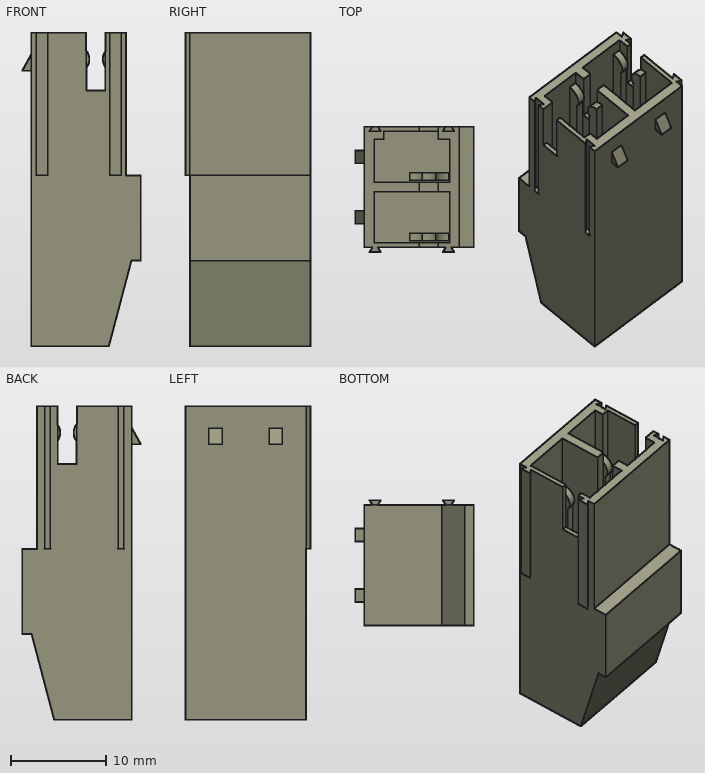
import cadquery as cq
import math

HEIGHT = 33.0
DEPTH = 12.7
UPPER_WIDTH = 10.0
LOWER_WIDTH = 11.55
FOOT_WIDTH = 8.2
SHOULDER_Z = 18.0
STEP_Z = 9.0
STEP_DEPTH = 1.0

CAVITY_COUNT = 2
LATCH_SIDE_WALL = 1.05
SHOULDER_SIDE_WALL = 1.0
END_WALL = 0.5
DIVIDER = 1.0
CAVITY_LEFT_X = LATCH_SIDE_WALL
CAVITY_RIGHT_X = UPPER_WIDTH - SHOULDER_SIDE_WALL
CAVITY_DEPTH = (DEPTH - 2 * END_WALL - DIVIDER) / CAVITY_COUNT
CAVITY_PITCH = CAVITY_DEPTH + DIVIDER
CAVITY_FLOOR_Z = SHOULDER_Z
CAVITY_HEIGHT = HEIGHT - CAVITY_FLOOR_Z

SLOT_LEFT_X = 5.78
SLOT_WIDTH = 2.05
SLOT_BOTTOM_Z = 26.93
SLOT_RIGHT_X = SLOT_LEFT_X + SLOT_WIDTH

POST_DEPTH = 0.82
LEFT_POST_WIDTH = 1.02
RIGHT_POST_WIDTH = CAVITY_RIGHT_X - SLOT_RIGHT_X

RAIL_CENTERS_X = (1.15, 8.88)
RAIL_TIP_WIDTH = 1.22
RAIL_ROOT_WIDTH = 0.6
RAIL_DEPTH = 0.5

LATCH_REACH = 0.95
LATCH_WIDTH = 1.4
LATCH_BOTTOM_Z = 28.97
LATCH_TOP_Z = 30.7

CONTACT_CENTER_X = 6.83
CONTACT_WIDTH = 4.1
CONTACT_THICKNESS = 0.82
CONTACT_CLEARANCE = 0.2
TIP_GAP = 1.4
TIP_RADIUS = (CONTACT_WIDTH - TIP_GAP) / 2
TIP_CENTER_Z = 30.2
FORK_GAP = 1.9
FORK_RADIUS = FORK_GAP / 2
FORK_BOTTOM_Z = 19.8


def box(x, y, z, size_x, size_y, size_z):
    """Box placed by its lowest corner."""
    return cq.Workplane("XY").box(size_x, size_y, size_z, centered=False).translate((x, y, z))


def housing_block():
    outline = [
        (0, 0),
        (FOOT_WIDTH, 0),
        (LOWER_WIDTH - STEP_DEPTH, STEP_Z),
        (LOWER_WIDTH, STEP_Z),
        (LOWER_WIDTH, SHOULDER_Z),
        (UPPER_WIDTH, SHOULDER_Z),
        (UPPER_WIDTH, HEIGHT),
        (0, HEIGHT),
    ]
    return cq.Workplane("XZ").polyline(outline).close().extrude(-DEPTH)


def cavity(index):
    return box(
        CAVITY_LEFT_X, END_WALL + index * CAVITY_PITCH, CAVITY_FLOOR_Z,
        CAVITY_RIGHT_X - CAVITY_LEFT_X, CAVITY_DEPTH, CAVITY_HEIGHT,
    )


def corner_post(left_x, width):
    front_y = DEPTH - END_WALL - POST_DEPTH
    return box(left_x, front_y, CAVITY_FLOOR_Z, width, POST_DEPTH, CAVITY_HEIGHT)


def cross_slot():
    return box(SLOT_LEFT_X, 0, SLOT_BOTTOM_Z, SLOT_WIDTH, DEPTH, HEIGHT - SLOT_BOTTOM_Z)


def dovetail(center_x, root_y):
    """Dovetail bar that widens from its root toward -Y."""
    section = [
        (center_x - RAIL_ROOT_WIDTH / 2, root_y),
        (center_x + RAIL_ROOT_WIDTH / 2, root_y),
        (center_x + RAIL_TIP_WIDTH / 2, root_y - RAIL_DEPTH),
        (center_x - RAIL_TIP_WIDTH / 2, root_y - RAIL_DEPTH),
    ]
    base = cq.Workplane("XY").workplane(offset=SHOULDER_Z)
    return base.polyline(section).close().extrude(HEIGHT - SHOULDER_Z)


def latch(index):
    center_y = END_WALL + CAVITY_DEPTH / 2 + index * CAVITY_PITCH
    wedge = [(0, LATCH_BOTTOM_Z), (-LATCH_REACH, LATCH_BOTTOM_Z), (0, LATCH_TOP_Z)]
    solid = cq.Workplane("XZ").polyline(wedge).close().extrude(LATCH_WIDTH / 2, both=True)
    return solid.translate((0, center_y, 0))


def make_housing():
    body = housing_block()
    for index in range(CAVITY_COUNT):
        body = body.cut(cavity(index))
    body = body.union(corner_post(CAVITY_LEFT_X, LEFT_POST_WIDTH))
    body = body.union(corner_post(SLOT_RIGHT_X, RIGHT_POST_WIDTH))
    body = body.cut(cross_slot())
    for center_x in RAIL_CENTERS_X:
        body = body.union(dovetail(center_x, 0))
        body = body.cut(dovetail(center_x, DEPTH))
    for index in range(CAVITY_COUNT):
        body = body.union(latch(index))
    return body


def make_contact(index):
    """Flat fork standing on the cavity floor, with tips that bulge inward and flare outward at the top."""
    left_x = CONTACT_CENTER_X - CONTACT_WIDTH / 2
    right_x = CONTACT_CENTER_X + CONTACT_WIDTH / 2
    fork_left_x = CONTACT_CENTER_X - FORK_RADIUS
    fork_right_x = CONTACT_CENTER_X + FORK_RADIUS
    fork_center_z = FORK_BOTTOM_Z + FORK_RADIUS
    tip_top_z = TIP_CENTER_Z + TIP_RADIUS

    inner_offset = CONTACT_WIDTH / 2 - FORK_RADIUS
    tip_start_z = TIP_CENTER_Z - math.sqrt(TIP_RADIUS**2 - inner_offset**2)

    front_y = END_WALL + CONTACT_CLEARANCE + index * CAVITY_PITCH
    profile = (
        cq.Workplane("XZ", origin=(0, front_y, 0))
        .moveTo(left_x, CAVITY_FLOOR_Z)
        .lineTo(right_x, CAVITY_FLOOR_Z)
        .lineTo(right_x, tip_top_z)
        .threePointArc((right_x - TIP_RADIUS, TIP_CENTER_Z), (fork_right_x, tip_start_z))
        .lineTo(fork_right_x, fork_center_z)
        .threePointArc((CONTACT_CENTER_X, FORK_BOTTOM_Z), (fork_left_x, fork_center_z))
        .lineTo(fork_left_x, tip_start_z)
        .threePointArc((left_x + TIP_RADIUS, TIP_CENTER_Z), (left_x, tip_top_z))
        .close()
    )
    return profile.extrude(-CONTACT_THICKNESS)


housing = make_housing().solids()
contacts = [make_contact(index) for index in range(CAVITY_COUNT)]
result = cq.Compound.makeCompound([housing.val(), *[contact.val() for contact in contacts]])